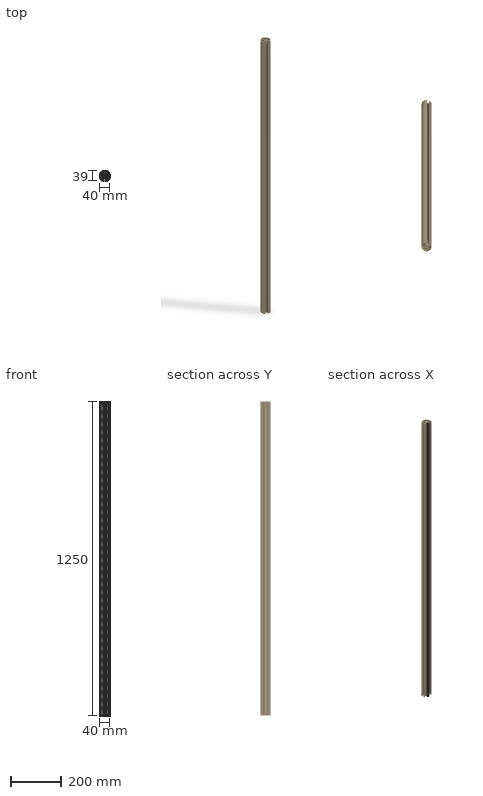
import cadquery as cq
import math

length = 1250.0
outer_radius = 20.0
slot_flat_y = 19.0

core_half_size = 8.0
bore_radius = 4.1

mouth_half_width = 5.0
chamber_half_width = 10.0
lip_inner_y = 15.0
skin_inner_radius = 17.5
web_thickness = 1.75
lip_corner_radius = 1.0
root_radius = 1.5
chamber_count = 4
open_chamber = 2

core_flat_half_width = core_half_size * math.tan(math.pi / 8)
core_diagonal_sum = core_half_size + core_flat_half_width
web_offset = web_thickness / math.sqrt(2)
root_x = (core_diagonal_sum - web_offset) / 2
root_y = (core_diagonal_sum + web_offset) / 2
shoulder_y = chamber_half_width + web_offset


def make_body():
    """Round bar with one flat for the open slot, its round side being a single arc."""
    flat_half_width = math.sqrt(outer_radius**2 - slot_flat_y**2)
    return (
        cq.Workplane("XY")
        .moveTo(flat_half_width, -slot_flat_y)
        .threePointArc((0, outer_radius), (-flat_half_width, -slot_flat_y))
        .close()
        .extrude(length)
    )


def upright_edges_at(solid, x, y):
    """The two lengthwise edges that pass through (x, y) and (-x, y)."""
    nearest = cq.selectors.NearestToPointSelector
    edges = solid.edges("|Z")
    right = edges.edges(nearest((x, y, length / 2)))
    left = edges.edges(nearest((-x, y, length / 2)))
    return right.add(left)


def make_chamber(mouth_end_radius):
    """T-shaped chamber along +Y whose mouth ends in an arc round the axis."""
    right_side = [
        (mouth_half_width, lip_inner_y),
        (chamber_half_width, lip_inner_y),
        (chamber_half_width, shoulder_y),
        (root_x, root_y),
        (core_flat_half_width, core_half_size),
    ]
    left_side = [(-x, y) for x, y in reversed(right_side)]
    mouth_end_y = math.sqrt(mouth_end_radius**2 - mouth_half_width**2)
    chamber = (
        cq.Workplane("XY")
        .moveTo(-mouth_half_width, mouth_end_y)
        .threePointArc((0, mouth_end_radius), (mouth_half_width, mouth_end_y))
        .polyline(right_side + left_side, includeCurrent=True)
        .close()
        .extrude(length)
    )
    chamber = upright_edges_at(chamber, chamber_half_width, lip_inner_y).fillet(lip_corner_radius)
    return upright_edges_at(chamber, root_x, root_y).fillet(root_radius)


def cut_chambers(body):
    """Cut the open slot and the closed chambers at equal angles round the axis."""
    for index in range(chamber_count):
        mouth_end_radius = outer_radius if index == open_chamber else skin_inner_radius
        angle = index * 360 / chamber_count
        body = body.cut(make_chamber(mouth_end_radius).rotate((0, 0, 0), (0, 0, 1), angle))
    return body


def cut_bore(body):
    """Cut the round bore along the axis."""
    bore = cq.Workplane("XY").circle(bore_radius).extrude(length)
    return body.cut(bore)


result = cut_bore(cut_chambers(make_body()))